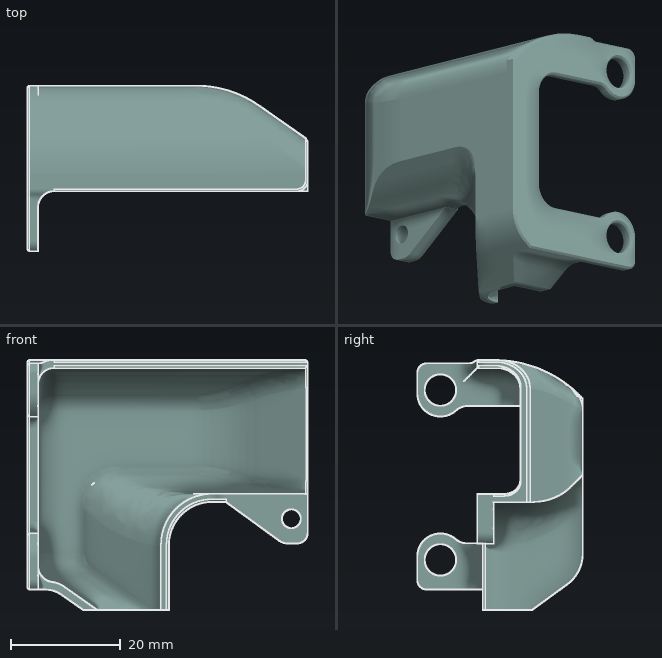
import cadquery as cq
import math


length = 51.2
wall = 1.5
back_y = 19.3
top_z = 45.65
margin = 20.0
overrun = 4.0
touch = 1e-3
min_slant = math.cos(math.radians(70))

roof_flat_y = 3.1
roof_radius = 22.0
roof_corner_radius = 5.0
bend_start_x = 30.8
bend_radius = 20.0
bend_angle = math.radians(35)
rail_corner_radius = 2.0
rail_chamfer = 0.4

floor_z = 3.7
belly_radius = 7.0
belly_center_z = 10.3
belly_angle = math.radians(36)
chute_end_x = 10.2
chute_angle = math.radians(35)
chute_bend_radius = 5.0
valley_radius = 3.0

shelf_z = 21.2
shelf_flat_y = 10.3
shelf_rise_radius = 8.2
skirt_x = 24.4
skirt_front_y = 1.0
skirt_bend_radius = 5.5
skirt_chamfer = 0.5
fold_radius = 9.3
inner_fillet = 2.4
diagonal = math.radians(45)

flange_thickness = 2.0
flange_front_y = -10.95
flange_corner_radius = 1.8
flange_fillet = 2.9
edge_chamfer = 0.35
arm_top_z = 45.05
step_start_y = 0.4
step_end_y = -1.4
window_back_y = 12.9
window_bottom_z = 12.2
window_top_z = 37.2
window_radius = 4.0
eye_y = -6.7
eye_diameter = 5.7
lower_eye_z = 9.14
upper_eye_z = 40.13
lobe_radius = 4.25
lobe_shift = 0.6
lobe_blend_radius = 3.0

tab_left_x = 36.3
tab_thickness = 3.0
tab_shoulder_z = 19.65
tab_bottom_z = 12.1
tab_angle = math.radians(36)
tab_left_radius = 3.0
tab_right_radius = 2.0
tab_hole_x = 48.2
tab_hole_z = 16.65
tab_hole_diameter = 3.4
relief_end_x = 33.2


def polar(center, radius, angle):
    return (center[0] + radius * math.cos(angle), center[1] + radius * math.sin(angle))


def near(x, y, z):
    return cq.selectors.NearestToPointSelector((x, y, z))


def s_curve(sketch, start, end):
    """Continue a sketch from start to end with two equal tangent arcs."""
    middle = ((start[0] + end[0]) / 2, (start[1] + end[1]) / 2)
    return sketch.tangentArcPoint(middle, relative=False).tangentArcPoint(end, relative=False)


def lies_on(edge, solid):
    """True when the middle of an edge lies on the surface of a solid."""
    point = edge.positionAt(0.5)
    middle = cq.Vertex.makeVertex(point.x, point.y, point.z)
    return all(middle.distance(shell) < touch for shell in solid.Shells())



def roof_profile(inset):
    """YZ section of roof, back wall and belly, with a sharp upper back corner."""
    radius = roof_radius - inset
    center = (roof_flat_y, top_z - roof_radius)
    reach = back_y - inset - roof_flat_y
    corner_angle = math.acos(reach / radius)
    middle_angle = (corner_angle + math.pi / 2) / 2
    belly_center = (back_y - belly_radius, belly_center_z)
    belly = belly_radius - inset
    slope_angle = belly_angle - math.pi / 2
    slope_start = polar(belly_center, belly, slope_angle)
    slope_end_y = slope_start[0] - (slope_start[1] + margin) / math.tan(belly_angle)
    return (
        cq.Workplane("YZ")
        .moveTo(-2 * margin, top_z - inset)
        .lineTo(roof_flat_y, top_z - inset)
        .threePointArc(polar(center, radius, middle_angle), polar(center, radius, corner_angle))
        .lineTo(back_y - inset, belly_center_z)
        .threePointArc(polar(belly_center, belly, slope_angle / 2), slope_start)
        .lineTo(slope_end_y, -margin)
        .lineTo(-2 * margin, -margin)
        .close()
    )


def plan_profile(inset, front_y):
    """XY outline of the cover with the turned-in back wall."""
    end_x = length + overrun
    radius = bend_radius - inset
    center = (bend_start_x, back_y - bend_radius)
    bend_end = polar(center, radius, math.pi / 2 - bend_angle)
    end_y = bend_end[1] - (end_x - bend_end[0]) * math.tan(bend_angle)
    return (
        cq.Workplane("XY", origin=(0, 0, -margin))
        .moveTo(flange_thickness, front_y)
        .lineTo(flange_thickness, back_y - inset)
        .lineTo(bend_start_x, back_y - inset)
        .threePointArc(polar(center, radius, math.pi / 2 - bend_angle / 2), bend_end)
        .lineTo(end_x, end_y)
        .lineTo(end_x, front_y)
        .close()
    )


def chute_space(inset, bottom_z):
    """Space above the flat bottom and above the slope that runs down from it in +X."""
    run = math.tan(chute_angle)
    flat_z = floor_z + inset
    slope_zero_x = chute_end_x + inset / math.sin(chute_angle)
    bend_x = slope_zero_x - flat_z / run
    far_x = length + 2 * margin
    outline = [
        (0, flat_z),
        (bend_x, flat_z),
        (slope_zero_x - bottom_z / run, bottom_z),
        (far_x, bottom_z),
        (far_x, top_z + margin),
        (0, top_z + margin),
    ]
    space = cq.Workplane("XZ", origin=(0, 2 * margin, 0)).polyline(outline).close().extrude(4 * margin)
    return space.edges(near(bend_x, 0, flat_z)).fillet(chute_bend_radius)


def cover_body(inset, front_y, bottom_z):
    """Solid body of the cover, moved inwards by inset."""
    section = roof_profile(inset).extrude(length + 2 * margin)
    body = section.intersect(plan_profile(inset, front_y).extrude(top_z + 2 * margin))
    roof_edges = [
        edge for edge in body.edges().vals()
        if edge.Center().y > roof_flat_y and edge.Center().z > window_top_z
        and abs(edge.tangentAt(0.5).x) > min_slant
    ]
    body = body.newObject(roof_edges).fillet(roof_corner_radius - inset)
    return body.intersect(chute_space(inset, bottom_z))


def make_recess(inset):
    """Space under the shelf and to the right of the skirt, shrunk by inset."""
    x = skirt_x + inset
    far_x = length + margin
    far_y = 2 * margin
    bend = skirt_bend_radius + inset
    bend_center = (skirt_x - skirt_bend_radius, skirt_front_y)
    bend_end = polar(bend_center, bend, diagonal)
    plan = (
        cq.Workplane("XY", origin=(0, 0, -margin))
        .moveTo(x, -margin)
        .lineTo(x, skirt_front_y)
        .threePointArc(polar(bend_center, bend, diagonal / 2), bend_end)
        .lineTo(bend_end[0] - (far_y - bend_end[1]) * math.tan(diagonal), far_y)
        .lineTo(far_x, far_y)
        .lineTo(far_x, -margin)
        .close()
        .extrude(4 * margin)
    )
    top = shelf_z - inset
    rise = shelf_rise_radius + inset
    rise_center = (shelf_flat_y, shelf_z + shelf_rise_radius)
    rise_end = polar(rise_center, rise, diagonal - math.pi / 2)
    section = (
        cq.Workplane("YZ", origin=(-margin, 0, 0))
        .moveTo(-margin, top)
        .lineTo(shelf_flat_y, top)
        .threePointArc(polar(rise_center, rise, diagonal / 2 - math.pi / 2), rise_end)
        .lineTo(far_y, rise_end[1] + (far_y - rise_end[0]) * math.tan(diagonal))
        .lineTo(far_y, -margin)
        .lineTo(-margin, -margin)
        .close()
        .extrude(far_x + margin)
    )
    body = plan.intersect(section)
    return body.edges(near(x, -margin / 2, top)).fillet(fold_radius - inset)


def make_cavity():
    """Inside of the cover; its rounded edges become the fillets between the walls."""
    body = cover_body(wall, -2 * margin, -margin)
    valley = [
        edge for edge in body.edges().vals()
        if edge.Center().z < floor_z and edge.Center().y > skirt_front_y
        and abs(edge.tangentAt(0.5).z) > min_slant
    ]
    body = body.newObject(valley).fillet(valley_radius)
    recess = make_recess(0)
    cavity = body.cut(recess)
    corners = [
        edge for edge in cavity.edges().vals()
        if lies_on(edge, recess.val()) and lies_on(edge, body.val())
        and edge.positionAt(0.5).y > skirt_front_y
        and edge.positionAt(0.5).z > -margin / 2
        and edge.positionAt(0.5).x < length
    ]
    cavity = cavity.newObject(corners).fillet(inner_fillet)
    flange_edges = [edge for edge in cavity.faces("<X").edges().vals() if edge.Center().y > -margin]
    return cavity.newObject(flange_edges).fillet(flange_fillet)


def make_front_relief():
    """Sets the front edge of skirt and belly back from the rail and the tab."""
    start = (relief_end_x, skirt_front_y)
    sketch = cq.Workplane("XY").moveTo(flange_thickness, skirt_front_y).lineTo(*start)
    return (
        s_curve(sketch, start, (tab_left_x, 0))
        .lineTo(tab_left_x, -margin)
        .lineTo(flange_thickness, -margin)
        .close()
        .extrude(top_z - 2 * wall)
    )


def break_cover_edges(cover, recess):
    """Round the free rail corner and chamfer the skirt, rail and end edges."""
    cover = cover.edges(near(length, 0, top_z - wall / 2)).fillet(rail_corner_radius)
    skirt_edges = [
        edge for edge in cover.edges().vals()
        if lies_on(edge, recess.val())
        and edge.Center().x < tab_left_x
        and edge.Center().y < skirt_front_y + touch
        and edge.Center().z > touch
    ]
    cover = cover.newObject(skirt_edges).chamfer(skirt_chamfer)
    rail_edges = [
        edge for edge in cover.edges("|X").vals()
        if abs(edge.Center().y) < touch and edge.Center().z > top_z - 2 * wall
    ]
    return cover.newObject(rail_edges).chamfer(rail_chamfer)


def make_cover(cavity):
    trim = cq.Workplane("XY").box(length, 4 * margin, 8 * margin, centered=(False, True, True))
    recess = make_recess(wall)
    cover = cover_body(0, 0, 0).intersect(trim)
    cover = cover.cut(cavity).cut(recess).cut(make_front_relief())
    return break_cover_edges(cover, recess)



def flange_outline(depth):
    """Outer outline of the flange as a plate, without the window."""
    behind_arms = cq.Workplane("XY", origin=(0, step_start_y, floor_z)).box(
        depth, back_y, top_z, centered=False
    )
    back = roof_profile(0).extrude(depth).intersect(behind_arms)
    step_start = (step_start_y, top_z)
    sketch = cq.Workplane("YZ").moveTo(roof_flat_y, top_z).lineTo(*step_start)
    arms = (
        s_curve(sketch, step_start, (step_end_y, arm_top_z))
        .lineTo(flange_front_y, arm_top_z)
        .lineTo(flange_front_y, floor_z)
        .lineTo(roof_flat_y, floor_z)
        .close()
        .extrude(depth)
    )
    return back.union(arms.edges("|X").edges("<Y").fillet(flange_corner_radius))


def make_lobe(center_z, edge_z, inward):
    """Round lobe around an eye, blended into the window edge; inward is +1 or -1 in Z."""
    center = (flange_front_y + lobe_radius, center_z)
    spread = lobe_radius + lobe_blend_radius
    blend_z = edge_z + inward * lobe_blend_radius
    blend_y = center[0] + math.sqrt(spread**2 - (blend_z - center_z) ** 2)
    blend_center = (blend_y, blend_z)
    to_lobe = math.atan2(center_z - blend_z, center[0] - blend_y)
    middle_angle = (to_lobe - inward * math.pi / 2) / 2
    root_z = edge_z - inward * lobe_radius
    return (
        cq.Workplane("YZ")
        .moveTo(blend_y, edge_z)
        .threePointArc(
            polar(blend_center, lobe_blend_radius, middle_angle),
            polar(blend_center, lobe_blend_radius, to_lobe),
        )
        .threePointArc((center[0], center_z + inward * lobe_radius), (flange_front_y, center_z))
        .lineTo(flange_front_y, root_z)
        .lineTo(blend_y, root_z)
        .close()
        .extrude(flange_thickness)
    )


def make_flange():
    window = (
        cq.Workplane("YZ", origin=(0, window_back_y, window_bottom_z))
        .rect(-2 * margin, window_top_z - window_bottom_z, centered=False)
        .extrude(flange_thickness)
        .edges("|X").edges(">Y").fillet(window_radius)
    )
    lower_lobe_z = lower_eye_z + lobe_shift
    upper_lobe_z = upper_eye_z - lobe_shift
    lobe_gap = (
        cq.Workplane("YZ", origin=(0, flange_front_y, lower_lobe_z))
        .rect(lobe_radius, upper_lobe_z - lower_lobe_z, centered=False)
        .extrude(flange_thickness)
    )
    plate = flange_outline(flange_thickness).cut(window).cut(lobe_gap)
    plate = plate.union(make_lobe(lower_lobe_z, window_bottom_z, 1))
    plate = plate.union(make_lobe(upper_lobe_z, window_top_z, -1))
    plate = plate.faces("<X").chamfer(edge_chamfer)
    eyes = cq.Workplane("YZ").pushPoints([(eye_y, lower_eye_z), (eye_y, upper_eye_z)])
    holes = eyes.circle(eye_diameter / 2).extrude(flange_thickness)
    sinks = eyes.circle(eye_diameter / 2 + edge_chamfer).extrude(edge_chamfer, taper=45)
    return plate.cut(holes).cut(sinks)


def make_web(cavity):
    """Fillet in the corner between the upper flange arm and the front of the roof."""
    center = (flange_thickness + flange_fillet, -flange_fillet)
    corner = (
        cq.Workplane("XY", origin=(0, 0, window_top_z))
        .moveTo(flange_thickness, -flange_fillet)
        .threePointArc(polar(center, flange_fillet, math.radians(135)), (center[0], 0))
        .lineTo(center[0], skirt_front_y)
        .lineTo(flange_thickness, skirt_front_y)
        .close()
        .extrude(top_z - window_top_z)
    )
    return corner.intersect(flange_outline(center[0])).cut(cavity)



def make_tab():
    foot_x = tab_left_x + (tab_shoulder_z - tab_bottom_z) / math.tan(tab_angle)
    outline = [
        (tab_left_x, shelf_z),
        (tab_left_x, tab_shoulder_z),
        (foot_x, tab_bottom_z),
        (length, tab_bottom_z),
        (length, shelf_z),
    ]
    back_plane = cq.Workplane("XZ", origin=(0, tab_thickness, 0))
    tab = back_plane.polyline(outline).close().extrude(tab_thickness)
    middle_y = tab_thickness / 2
    tab = tab.edges(near(foot_x, middle_y, tab_bottom_z)).fillet(tab_left_radius)
    tab = tab.edges(near(length, middle_y, tab_bottom_z)).fillet(tab_right_radius)
    hole = back_plane.center(tab_hole_x, tab_hole_z).circle(tab_hole_diameter / 2)
    return tab.cut(hole.extrude(tab_thickness))


cavity = make_cavity()
result = make_cover(cavity).union(make_flange()).union(make_tab()).union(make_web(cavity))